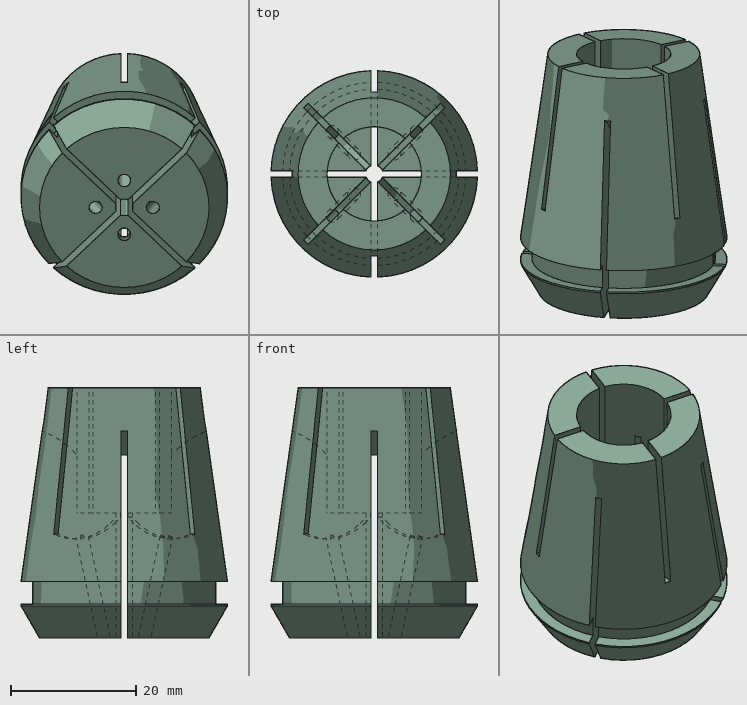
import cadquery as cq
import math

height = 40.0
max_diameter = 33.0
max_radius = max_diameter / 2
taper_angle = 8.0
nose_angle = 30.0

nose_top = 5.15
rim_top = 5.45
groove_top = 9.05
groove_radius = 14.65

bore_radius = 7.5
bore_floor = 20.0
pilot_radius = 1.4

slots_per_end = 4
slot_width = 1.0
saw_radius = 14.5
lower_slot_outer_end = 33.1
lower_slot_inner_end = 29.25
upper_slot_bottom = 15.85
upper_saw_offset = 10.8

drill_radius = 1.0
drill_angle = 17.0
drill_offset = 9.4
drill_lead = 0.4

clearance = 2.0


def cone_radius(z):
    """Radius of the clamping cone at height z."""
    return max_radius - (z - groove_top) * math.tan(math.radians(taper_angle))


def body():
    nose_radius = max_radius - nose_top * math.tan(math.radians(nose_angle))
    outline = [
        (pilot_radius, 0),
        (nose_radius, 0),
        (max_radius, nose_top),
        (max_radius, rim_top),
        (groove_radius, rim_top),
        (groove_radius, groove_top),
        (max_radius, groove_top),
        (cone_radius(height), height),
        (bore_radius, height),
        (bore_radius, bore_floor),
        (pilot_radius, bore_floor),
    ]
    return cq.Workplane("XZ").polyline(outline).close().revolve(360, (0, 0), (0, 1))


def lower_slot():
    """Slot from the axis towards +X, open at the nose, with a saw-curved upper end."""
    reach = max_radius + clearance
    outer_radius = cone_radius(lower_slot_outer_end)
    return (
        cq.Workplane("XZ")
        .moveTo(0, -clearance)
        .lineTo(0, lower_slot_inner_end)
        .lineTo(bore_radius, lower_slot_inner_end)
        .radiusArc((outer_radius, lower_slot_outer_end), saw_radius)
        .lineTo(reach, lower_slot_outer_end)
        .lineTo(reach, -clearance)
        .close()
        .extrude(slot_width / 2, both=True)
    )


def upper_slot():
    """Slot from the axis towards +X, open at the top, with a saw-curved floor."""
    reach = max_radius + clearance
    saw_height = upper_slot_bottom + saw_radius

    def floor_height(x):
        return saw_height - math.sqrt(saw_radius**2 - (x - upper_saw_offset) ** 2)

    return (
        cq.Workplane("XZ")
        .moveTo(0, height + clearance)
        .lineTo(0, floor_height(0))
        .threePointArc((upper_saw_offset, upper_slot_bottom), (reach, floor_height(reach)))
        .lineTo(reach, height + clearance)
        .close()
        .extrude(slot_width / 2, both=True)
    )


def drilling():
    """Hole from the floor of an upper slot, leaning inwards down through the nose."""
    slant = math.radians(drill_angle)
    entry = cq.Vector(drill_offset, 0, upper_slot_bottom)
    direction = cq.Vector(-math.sin(slant), 0, -math.cos(slant))
    start = entry - direction * drill_lead
    length = (upper_slot_bottom + clearance) / math.cos(slant)
    return cq.Workplane(cq.Solid.makeCylinder(drill_radius, length, start, direction))


axis_start = (0, 0, 0)
axis_end = (0, 0, 1)

slot_pitch = 360 / slots_per_end

result = body()
for index in range(slots_per_end):
    lower_angle = index * slot_pitch
    upper_angle = lower_angle + slot_pitch / 2
    result = result.cut(lower_slot().rotate(axis_start, axis_end, lower_angle))
    result = result.cut(upper_slot().rotate(axis_start, axis_end, upper_angle))
    result = result.cut(drilling().rotate(axis_start, axis_end, upper_angle))